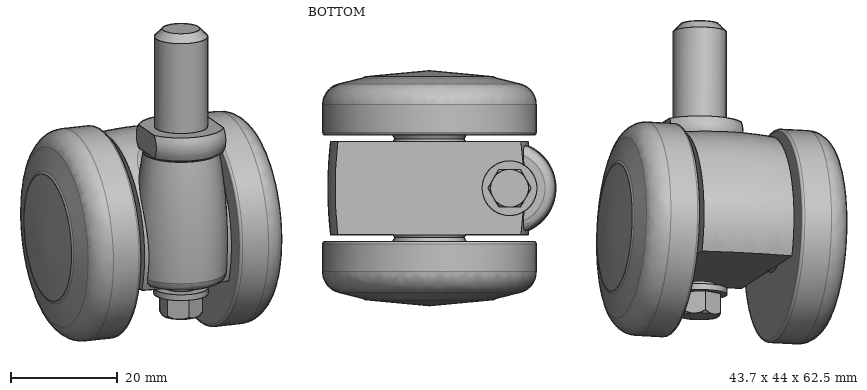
import cadquery as cq
import math

stem_x = 15.0

wheel_radius = 20.0
wheel_inner_y = 9.95
rim_round = 0.5
shoulder_round = 4.0
cap_radius = 12.0
cap_edge_y = 20.9
cap_center_y = 22.0
cap_bevel_radius = 12.5
cap_bevel_y = 20.6
face_slope = 0.25
boss_joint_y = 9.25
boss_joint_radius = 6.5
wheel_boss_root_radius = 6.9
housing_boss_root_radius = 6.75

neck_top_z = 19.0
housing_half_width = 8.75
barrel_end_radius = 18.5
barrel_middle_radius = 19.0
barrel_bottom_z = -7.0
post_radius = 8.7
post_shoulder_radius = 7.1
post_bottom_z = -6.5
post_bottom_round = 1.9
post_widest_z = 1.25
post_shoulder_z = barrel_end_radius
neck_radius = 7.0
blend_core_offset = 2.25
blend_core_radius = 5.25
blend_fillet = 1.95
trimmed_height = 3.75

stud_radius = 5.0
stud_chamfer = 1.5
stud_top_z = 42.5
collar_bottom_z = neck_top_z
collar_top_z = 23.5
collar_edge_radius = 8.0
collar_middle_radius = 8.6
collar_across_flats = 14.0
shaft_radius = 3.0
washer_radius = 5.1
washer_top_z = -7.9
washer_bottom_z = -9.0
hex_across_flats = 7.0
hex_bottom_z = -13.1
hex_chamfer = 0.5


def revolve_about_axle(profile):
    """Revolve a profile drawn in the XY plane (X = radius) about the Y axis."""
    return profile.close().revolve(360, (0, 0, 0), (0, 1, 0))


def revolve_about_stem(profile):
    """Revolve a profile drawn in the XZ plane (X = radius) about Z, then move it to the stem."""
    return profile.close().revolve(360, (0, 0, 0), (0, 1, 0)).translate((stem_x, 0, 0))


def cylinder(center_x, radius, bottom_z, top_z):
    return cq.Workplane("XY", origin=(center_x, 0, bottom_z)).circle(radius).extrude(top_z - bottom_z)


def stem_cylinder(radius, bottom_z, top_z):
    return cylinder(stem_x, radius, bottom_z, top_z)


def edge_at(y, radius):
    """Selector for the circular edge of this radius about the axle at this Y."""
    slack = 0.05
    reach = radius + slack
    inside = radius - slack
    low_y = y - slack
    high_y = y + slack
    within = cq.selectors.BoxSelector((-reach, low_y, -reach), (reach, high_y, reach), boundingbox=True)
    smaller = cq.selectors.BoxSelector((-inside, low_y, -inside), (inside, high_y, inside), boundingbox=True)
    return within - smaller


def make_wheel():
    """Wheel on the +Y side: domed cap outside, conical boss inside."""
    shoulder_y = cap_bevel_y - face_slope * (wheel_radius - cap_bevel_radius)
    wheel = revolve_about_axle(
        cq.Workplane("XY")
        .moveTo(0, boss_joint_y)
        .lineTo(boss_joint_radius, boss_joint_y)
        .lineTo(wheel_boss_root_radius, wheel_inner_y)
        .lineTo(wheel_radius, wheel_inner_y)
        .lineTo(wheel_radius, shoulder_y)
        .lineTo(cap_bevel_radius, cap_bevel_y)
        .lineTo(cap_radius, cap_edge_y)
        .lineTo(0, cap_center_y)
    )
    wheel = wheel.edges(edge_at(shoulder_y, wheel_radius)).fillet(shoulder_round)
    return wheel.edges(edge_at(wheel_inner_y, wheel_radius)).fillet(rim_round)


def make_barrel():
    """Crowned barrel about the axle, flat underneath."""
    barrel = revolve_about_axle(
        cq.Workplane("XY")
        .moveTo(0, -housing_half_width)
        .lineTo(barrel_end_radius, -housing_half_width)
        .threePointArc((barrel_middle_radius, 0), (barrel_end_radius, housing_half_width))
        .lineTo(0, housing_half_width)
    )
    size = 2 * barrel_middle_radius
    below = cq.Workplane("XY", origin=(0, 0, barrel_bottom_z - size)).rect(2 * size, size).extrude(size)
    return barrel.cut(below)


def make_post():
    """Barrel-shaped post about the stem axis: rounded bottom edge, narrower at the top, with a neck."""
    rise = post_shoulder_z - post_widest_z
    inset = post_radius - post_shoulder_radius
    arc_radius = (rise**2 + inset**2) / (2 * inset)
    drop = post_widest_z - post_bottom_z
    bottom_radius = post_radius - arc_radius + math.sqrt(arc_radius**2 - drop**2)
    post = revolve_about_stem(
        cq.Workplane("XZ")
        .moveTo(0, post_bottom_z)
        .lineTo(bottom_radius, post_bottom_z)
        .threePointArc((post_radius, post_widest_z), (post_shoulder_radius, post_shoulder_z))
        .lineTo(neck_radius, post_shoulder_z)
        .lineTo(neck_radius, neck_top_z)
        .lineTo(0, neck_top_z)
    )
    return post.faces("<Z").edges().fillet(post_bottom_round)


def make_axle_bosses():
    """Core through the housing whose ends flare from the wheel joints out to the barrel ends."""
    return revolve_about_axle(
        cq.Workplane("XY")
        .moveTo(0, -boss_joint_y)
        .lineTo(boss_joint_radius, -boss_joint_y)
        .lineTo(housing_boss_root_radius, -housing_half_width)
        .lineTo(housing_boss_root_radius, housing_half_width)
        .lineTo(boss_joint_radius, boss_joint_y)
        .lineTo(0, boss_joint_y)
    )


def blend_barrel_into_post(barrel):
    """Fillet the barrel up to a narrow core inside the post.

    The core touches the post's wall only on the -X side, so the fillet fades into the post
    on both sides of it.
    """
    core_x = stem_x - blend_core_offset
    core = cylinder(core_x, blend_core_radius, 0, neck_top_z + trimmed_height)
    joint = cq.selectors.BoxSelector((0, -housing_half_width, 0), (stem_x, housing_half_width, neck_top_z))
    blended = barrel.union(core).edges(joint).fillet(blend_fillet)
    above_neck = cylinder(core_x, blend_core_radius + blend_fillet, neck_top_z, neck_top_z + 2 * trimmed_height)
    return blended.cut(above_neck)


def make_housing():
    """Barrel, post and axle bosses in one piece, with a through hole for the stem's shaft."""
    housing = blend_barrel_into_post(make_barrel()).union(make_post()).union(make_axle_bosses())
    return housing.cut(stem_cylinder(shaft_radius, barrel_bottom_z, neck_top_z))


def make_stem():
    """Stud, collar with two flats, and a shaft through the housing to a washer and hexagon head."""
    stud = stem_cylinder(stud_radius, collar_top_z, stud_top_z).faces(">Z").edges().chamfer(stud_chamfer)
    collar_middle_z = (collar_bottom_z + collar_top_z) / 2
    collar = revolve_about_stem(
        cq.Workplane("XZ")
        .moveTo(0, collar_bottom_z)
        .lineTo(collar_edge_radius, collar_bottom_z)
        .threePointArc((collar_middle_radius, collar_middle_z), (collar_edge_radius, collar_top_z))
        .lineTo(0, collar_top_z)
    )
    flats = (
        cq.Workplane("XY", origin=(stem_x, 0, collar_bottom_z))
        .rect(4 * collar_middle_radius, collar_across_flats)
        .extrude(collar_top_z - collar_bottom_z)
    )
    shaft = stem_cylinder(shaft_radius, washer_top_z, collar_bottom_z)
    washer = stem_cylinder(washer_radius, washer_bottom_z, washer_top_z)
    return stud.union(collar.intersect(flats)).union(shaft).union(washer).union(make_hex_head())


def make_hex_head():
    """Hexagon with its flats facing +Y and -Y, its corners chamfered at the bottom."""
    height = washer_bottom_z - hex_bottom_z
    corner_diameter = hex_across_flats / math.cos(math.radians(30))
    head = cq.Workplane("XY", origin=(stem_x, 0, hex_bottom_z)).polygon(6, corner_diameter).extrude(height)
    turned = stem_cylinder(corner_diameter / 2, hex_bottom_z, washer_bottom_z)
    return head.intersect(turned.faces("<Z").edges().chamfer(hex_chamfer))


wheel = make_wheel()
wheels = [wheel, wheel.mirror("XZ")]
housing = make_housing()
stem = make_stem()

result = cq.Compound.makeCompound([housing.val(), *[each.val() for each in wheels], stem.val()])